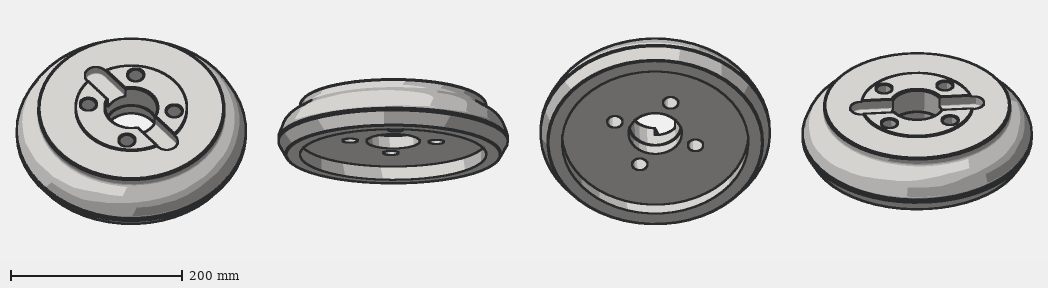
import cadquery as cq
import math

OUTER_RADIUS = 133.9
TOTAL_HEIGHT = 63.0
HUB_RISE = 1.5
SEAM_HEIGHT = 19.3
FLANGE_TOP = TOTAL_HEIGHT - HUB_RISE

FLANGE_RADIUS = 217.5 / 2
FLANGE_CHAMFER = 1.5
FLANGE_BOTTOM = 53.8
NECK_RADIUS, NECK_HEIGHT = 111.0, 49.8
SHOULDER_RADIUS, SHOULDER_HEIGHT = 120.7, 44.0
SIDE_RADIUS, SIDE_HEIGHT = 129.3, 33.7
BULGE_RADIUS, BULGE_HEIGHT = 133.3, 23.3
LOWER_EDGE_MID_HEIGHT = 21.5
LOWER_EDGE_RADIUS = 133.0
UNDERSIDE_HEIGHT = 16.0
SPIGOT_RADIUS = FLANGE_RADIUS

HUB_RADIUS = 65.3
HUB_CHAMFER = 0.8
BORE_RADIUS = 60.0 / 2
BORE_CHAMFER = 1.5
LOWER_BORE_RADIUS = 62.0 / 2
LOWER_BORE_TOP = 31.0

BOLT_COUNT = 4
BOLT_DIAMETER = 18.0
BOLT_CHAMFER = 1.0
BOLT_CIRCLE_RADIUS = 50.3
SLOT_ANGLE = 22.5
SLOT_WIDTH = 26.0
SLOT_DEPTH = 14.0
SLOT_FLOOR_FILLET = 1.5
SLOT_LENGTH = 2 * HUB_RADIUS + SLOT_WIDTH
FIRST_BOLT_ANGLE = SLOT_ANGLE + 180 / BOLT_COUNT

RING_BASE_RADIUS = 125.3
RING_INNER_RADIUS = SPIGOT_RADIUS
RING_CONE_TOP = 15.0
RING_RIM_BOTTOM = 15.8
RING_RIM_BREAK = 0.3
RING_TOP_CHAMFER = 1.5
RING_BASE_CHAMFER = 0.8


def make_wheel_blank():
    """Turned wheel without its hub, bore, holes or slot."""
    slope = math.atan2(NECK_HEIGHT - SHOULDER_HEIGHT, SHOULDER_RADIUS - NECK_RADIUS)
    fillet_radius = (FLANGE_BOTTOM - NECK_HEIGHT) / math.cos(slope)
    neck_mid_angle = (math.pi / 2 - slope) / 2
    neck_mid = (
        FLANGE_RADIUS + fillet_radius * (1 - math.cos(neck_mid_angle)),
        FLANGE_BOTTOM - fillet_radius * math.sin(neck_mid_angle),
    )
    return (
        cq.Workplane("XZ")
        .moveTo(0, FLANGE_TOP)
        .lineTo(FLANGE_RADIUS - FLANGE_CHAMFER, FLANGE_TOP)
        .lineTo(FLANGE_RADIUS, FLANGE_TOP - FLANGE_CHAMFER)
        .lineTo(FLANGE_RADIUS, FLANGE_BOTTOM)
        .threePointArc(neck_mid, (NECK_RADIUS, NECK_HEIGHT))
        .lineTo(SHOULDER_RADIUS, SHOULDER_HEIGHT)
        .tangentArcPoint((SIDE_RADIUS, SIDE_HEIGHT), relative=False)
        .lineTo(BULGE_RADIUS, BULGE_HEIGHT)
        .threePointArc((OUTER_RADIUS, LOWER_EDGE_MID_HEIGHT), (LOWER_EDGE_RADIUS, SEAM_HEIGHT))
        .lineTo(SPIGOT_RADIUS, SEAM_HEIGHT)
        .lineTo(SPIGOT_RADIUS, UNDERSIDE_HEIGHT)
        .lineTo(0, UNDERSIDE_HEIGHT)
        .close()
        .revolve(360, (0, 0, 0), (0, 1, 0))
    )


def make_hub():
    """Low round pad on top of the wheel."""
    return (
        cq.Workplane("XY", origin=(0, 0, FLANGE_TOP))
        .circle(HUB_RADIUS)
        .extrude(HUB_RISE)
        .faces(">Z")
        .chamfer(HUB_CHAMFER)
    )


def make_hole_cutter(radius, chamfer):
    """Through-hole cutter that widens to a chamfer at the hub face."""
    return (
        cq.Workplane("XZ")
        .lineTo(radius, 0)
        .lineTo(radius, TOTAL_HEIGHT - chamfer)
        .lineTo(radius + chamfer, TOTAL_HEIGHT)
        .lineTo(0, TOTAL_HEIGHT)
        .close()
        .revolve(360, (0, 0, 0), (0, 1, 0))
    )


def make_slot_cutter():
    """Round-ended slot across the hub, with a rounded floor edge."""
    return (
        cq.Workplane("XY", origin=(0, 0, TOTAL_HEIGHT - SLOT_DEPTH))
        .slot2D(SLOT_LENGTH, SLOT_WIDTH, SLOT_ANGLE)
        .extrude(SLOT_DEPTH)
        .faces("<Z")
        .edges()
        .fillet(SLOT_FLOOR_FILLET)
    )


def make_slot_chamfer_cutter():
    """Bar that flares the slot walls where they meet the hub face."""
    half_width = SLOT_WIDTH / 2
    return (
        cq.Workplane("YZ")
        .moveTo(-half_width, TOTAL_HEIGHT - HUB_CHAMFER)
        .lineTo(half_width, TOTAL_HEIGHT - HUB_CHAMFER)
        .lineTo(half_width + HUB_CHAMFER, TOTAL_HEIGHT)
        .lineTo(-half_width - HUB_CHAMFER, TOTAL_HEIGHT)
        .close()
        .extrude(SLOT_LENGTH / 2, both=True)
        .rotate((0, 0, 0), (0, 0, 1), SLOT_ANGLE)
    )


def make_wheel():
    """Wheel with raised hub, stepped bore, bolt holes and driving slot."""
    wheel = make_wheel_blank().union(make_hub())
    wheel = wheel.cut(make_hole_cutter(BORE_RADIUS, BORE_CHAMFER))
    wheel = wheel.cut(cq.Workplane("XY").circle(LOWER_BORE_RADIUS).extrude(LOWER_BORE_TOP))
    bolt_hole = make_hole_cutter(BOLT_DIAMETER / 2, BOLT_CHAMFER)
    for index in range(BOLT_COUNT):
        angle = FIRST_BOLT_ANGLE + index * 360 / BOLT_COUNT
        placed_hole = bolt_hole.translate((BOLT_CIRCLE_RADIUS, 0, 0)).rotate((0, 0, 0), (0, 0, 1), angle)
        wheel = wheel.cut(placed_hole)
    return wheel.cut(make_slot_cutter()).cut(make_slot_chamfer_cutter())


def make_rim_ring():
    """Conical ring under the outer edge of the wheel."""
    cone_slope = (OUTER_RADIUS - RING_RIM_BREAK - RING_BASE_RADIUS) / RING_CONE_TOP
    return (
        cq.Workplane("XZ")
        .moveTo(RING_INNER_RADIUS, 0)
        .lineTo(RING_BASE_RADIUS - RING_BASE_CHAMFER, 0)
        .lineTo(RING_BASE_RADIUS + RING_BASE_CHAMFER * cone_slope, RING_BASE_CHAMFER)
        .lineTo(OUTER_RADIUS - RING_RIM_BREAK, RING_CONE_TOP)
        .lineTo(OUTER_RADIUS, RING_RIM_BOTTOM)
        .lineTo(OUTER_RADIUS, SEAM_HEIGHT - RING_TOP_CHAMFER)
        .lineTo(OUTER_RADIUS - RING_TOP_CHAMFER, SEAM_HEIGHT)
        .lineTo(RING_INNER_RADIUS, SEAM_HEIGHT)
        .close()
        .revolve(360, (0, 0, 0), (0, 1, 0))
    )


wheel = make_wheel()
rim_ring = make_rim_ring()
result = cq.Compound.makeCompound([wheel.val(), rim_ring.val()])